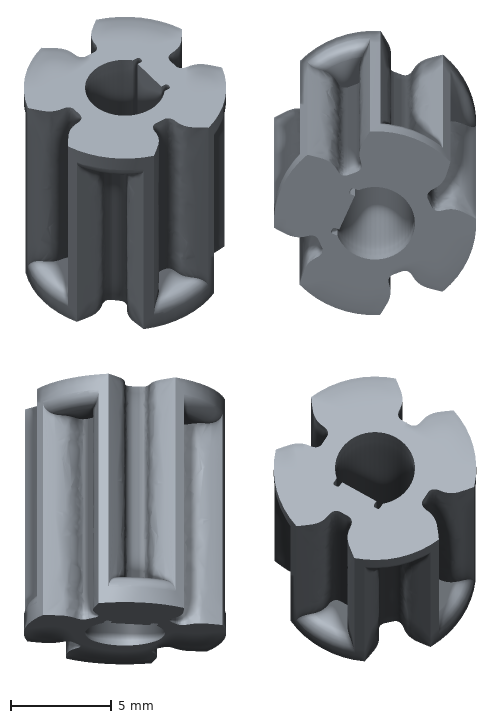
import cadquery as cq

height = 12.0
outer_radius = 5.05

groove_count = 8
root_distance = 2.95
root_half_flat = 0.2
neck_distance = 3.43
neck_half_width = 0.64
neck_slope = 0.1
mouth_distance = 4.76
mouth_half_width = 1.69
mouth_slope = 1.2
mouth_overrun = 0.6

end_wall = 1.5
end_wall_round = 0.7

bore_radius = 1.99
flat_distance = 1.51
notch_center = 1.18
notch_width = 0.35
notch_top = 1.85
notch_corner_radius = 0.12


def groove_prism():
    """Full-height groove on the +X side, with a mouth reaching past the outer surface."""
    end_x = outer_radius + mouth_overrun
    side_points = [(neck_distance, neck_half_width), (mouth_distance, mouth_half_width)]
    side_tangents = [(0, 1), (1, neck_slope), (1, mouth_slope)]
    end_half = mouth_half_width + mouth_slope * (end_x - mouth_distance)
    half = (
        cq.Workplane("XY")
        .moveTo(root_distance, 0)
        .lineTo(root_distance, root_half_flat)
        .spline(side_points, tangents=side_tangents, includeCurrent=True)
        .lineTo(end_x, end_half)
        .lineTo(end_x, 0)
        .close()
        .extrude(height)
    )
    return half.union(half.mirror("XZ"))


def closed_groove():
    """Groove open at the top and closed at the bottom by a rounded wall."""
    wall = cq.Workplane("XY").circle(outer_radius).extrude(end_wall)
    wall = wall.faces(">Z").edges().fillet(end_wall_round)
    body = cq.Workplane("XY").circle(outer_radius).extrude(height)
    return groove_prism().intersect(body).cut(wall)


def bore():
    """D-shaped through bore with a relief notch at each end of its flat."""
    cutter = cq.Workplane("XY").circle(bore_radius).extrude(height)
    above_flat = (
        cq.Workplane("XY")
        .center(0, flat_distance + bore_radius / 2)
        .rect(2 * bore_radius, bore_radius)
        .extrude(height)
    )
    cutter = cutter.cut(above_flat)
    notch_bottom = flat_distance / 2
    for side in (-1, 1):
        notch = (
            cq.Workplane("XY")
            .center(side * notch_center, (notch_bottom + notch_top) / 2)
            .rect(notch_width, notch_top - notch_bottom)
            .extrude(height)
            .edges("|Z and >Y")
            .fillet(notch_corner_radius)
        )
        cutter = cutter.union(notch)
    return cutter


result = cq.Workplane("XY").circle(outer_radius).extrude(height)

groove_open_top = closed_groove()
groove_open_bottom = groove_open_top.mirror("XY").translate((0, 0, height))
for index in range(groove_count):
    groove = groove_open_top if index % 2 == 0 else groove_open_bottom
    angle = index * 360 / groove_count
    result = result.cut(groove.rotate((0, 0, 0), (0, 0, 1), angle))

result = result.cut(bore())